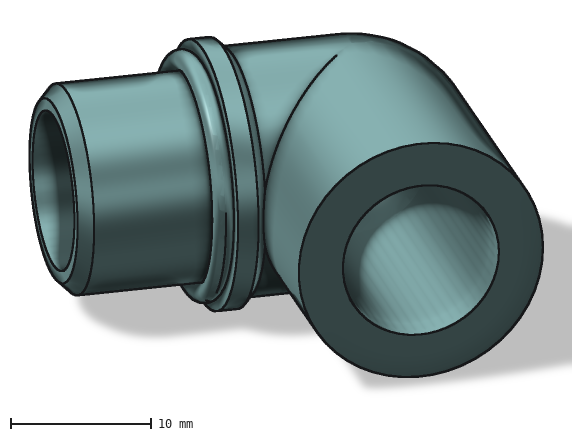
import cadquery as cq

body_diameter = 18.0
bore_diameter = 11.5
overall_length_x = 28.75
overall_length_y = 31.0

spigot_diameter = 15.2
spigot_chamfer = 0.95
collar_diameter = 19.5
collar_chamfer = 0.75
collar_back_y = -8.75
collar_face_y = -11.0
ring_outer_diameter = 18.2
ring_thickness = 1.55
ring_seat_depth = 0.05

socket_end_x = overall_length_x - collar_diameter / 2
spigot_end_y = body_diameter / 2 - overall_length_y


def cylinder_along_x(diameter, start_x, end_x):
    return cq.Workplane("YZ", origin=(start_x, 0, 0)).circle(diameter / 2).extrude(end_x - start_x)


def cylinder_along_y(diameter, start_y, end_y):
    """Cylinder on the Y axis, running from start_y towards -Y down to end_y."""
    return cq.Workplane("XZ", origin=(0, start_y, 0)).circle(diameter / 2).extrude(start_y - end_y)


def elbow(diameter, end_x, end_y):
    """Two round branches joined by a ball of the same diameter."""
    ball = cq.Workplane("XY").sphere(diameter / 2)
    x_branch = cylinder_along_x(diameter, 0, end_x)
    y_branch = cylinder_along_y(diameter, 0, end_y)
    return x_branch.union(y_branch).union(ball)


def collar():
    disc = cylinder_along_y(collar_diameter, collar_back_y, collar_face_y)
    return disc.faces(">Y").chamfer(collar_chamfer)


def spigot():
    tube = cylinder_along_y(spigot_diameter, collar_face_y, spigot_end_y)
    return tube.faces("<Y").chamfer(spigot_chamfer)


def sealing_ring():
    """Round-section ring around the spigot, seated slightly into the collar and the spigot."""
    center_radius = (ring_outer_diameter - ring_thickness) / 2
    center_y = collar_face_y + ring_seat_depth - ring_thickness / 2
    torus = cq.Solid.makeTorus(
        center_radius, ring_thickness / 2, cq.Vector(0, center_y, 0), cq.Vector(0, 1, 0)
    )
    return cq.Workplane(torus)


outside = elbow(body_diameter, socket_end_x, collar_face_y)
outside = outside.union(collar()).union(spigot()).union(sealing_ring())
passage = elbow(bore_diameter, socket_end_x, spigot_end_y)
result = outside.cut(passage)